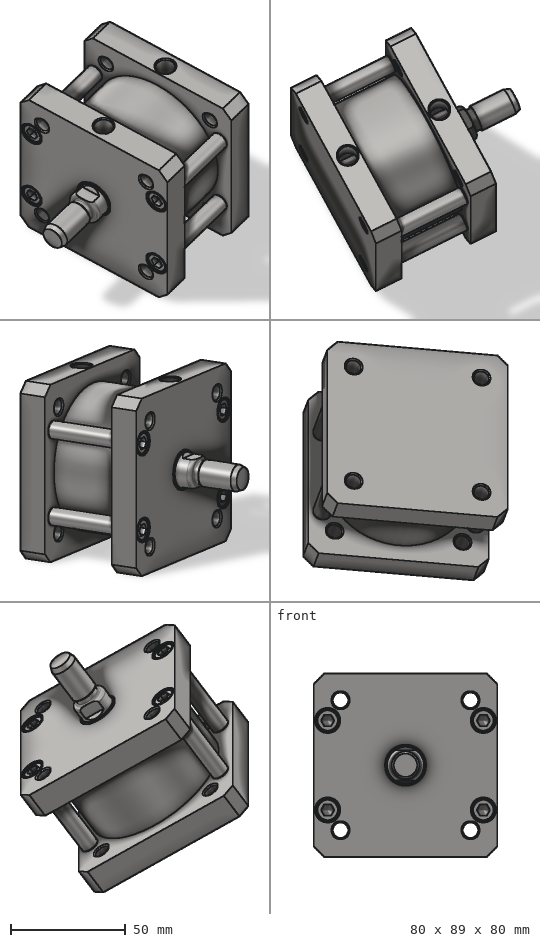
import cadquery as cq
import math


TOTAL_LENGTH = 89.0

PLATE_SIDE = 80.0
PLATE_THICKNESS = 12.55
CORNER_CHAMFER = 4.6

MOUNT_OFFSET = 28.3
MOUNT_DIA = 6.7
MOUNT_MOUTH_DIA = 8.0

PORT_DIA = 8.5
PORT_MOUTH_DIA = 9.7
PORT_FROM_OUTER_FACE = 7.0
PORT_DEPTH = 10.7
PORT_TIP_HALF_ANGLE = 59.0
BAR_DIA = 4.0
BAR_EMBED = 0.3

ROD_REACH = 30.0
COLLAR_DIA = 16.0
COLLAR_LENGTH = 8.0
COLLAR_FILLET = 1.7
FLATS_WIDTH = 13.0
FLATS_START = 2.3
NECK_DIA = 10.5
NECK_LENGTH = 2.9
NECK_FILLET = 0.45
STUD_DIA = 12.0
STUD_TIP_DIA = 10.15
STUD_TIP_LENGTH = 2.6
SHOULDER_DIA = 16.55
SHOULDER_REACH = 0.4
WIPER_BORE_DIA = 17.7
WIPER_MOUTH_DIA = 18.0
WIPER_BORE_DEPTH = 0.9

BARREL_DIA = 65.95
REGISTER_DIA = 63.0
END_GAP = 0.4

BOLT_X = 33.9
BOLT_Z = 19.5
SHANK_DIA = 6.9
SLEEVE_DIA = 8.0
SHANK_GRIP = 8.9
HEAD_DIA = 10.0
HEAD_RIM_DIA = 8.8
HEAD_HEIGHT = 6.0
HEAD_INSET = 0.4
COUNTERBORE_DIA = 10.5
COUNTERBORE_MOUTH_DIA = 11.0
SOCKET_ACROSS_FLATS = 5.0
SOCKET_DEPTH = 3.0
SOCKET_CONE_DEPTH = 1.7

BODY_LENGTH = TOTAL_LENGTH - ROD_REACH
BACK_PLATE_Y = BODY_LENGTH - PLATE_THICKNESS
SLEEVE_START_Y = PLATE_THICKNESS + END_GAP
SLEEVE_END_Y = BACK_PLATE_Y - END_GAP
COUNTERBORE_DEPTH = HEAD_INSET + HEAD_HEIGHT
SHANK_END_Y = BACK_PLATE_Y + SHANK_GRIP
MOUNT_PLACES = [(sx * MOUNT_OFFSET, sz * MOUNT_OFFSET) for sx in (-1, 1) for sz in (-1, 1)]
BOLT_PLACES = [(sx * BOLT_X, sz * BOLT_Z) for sx in (-1, 1) for sz in (-1, 1)]


def rod_along_y(diameter, start_y, end_y, x=0.0, z=0.0):
    """Cylinder parallel to Y."""
    return cq.Workplane(
        cq.Solid.makeCylinder(diameter / 2, end_y - start_y, cq.Vector(x, start_y, z), cq.Vector(0, 1, 0))
    )


def cone_along_y(start_dia, end_dia, start_y, end_y, x=0.0, z=0.0):
    """Cone parallel to Y."""
    return cq.Workplane(
        cq.Solid.makeCone(
            start_dia / 2, end_dia / 2, end_y - start_y, cq.Vector(x, start_y, z), cq.Vector(0, 1, 0)
        )
    )


def mount_hole(x, z, start_y):
    """Through hole with a 45 degree chamfer at both faces of a plate."""
    end_y = start_y + PLATE_THICKNESS
    chamfer = (MOUNT_MOUTH_DIA - MOUNT_DIA) / 2
    hole = rod_along_y(MOUNT_DIA, start_y, end_y, x, z)
    hole = hole.union(cone_along_y(MOUNT_MOUTH_DIA, MOUNT_DIA, start_y, start_y + chamfer, x, z))
    return hole.union(cone_along_y(MOUNT_DIA, MOUNT_MOUTH_DIA, end_y - chamfer, end_y, x, z))


def air_port(port_y):
    """Drilled port with a chamfered mouth and a conical bottom."""
    top = PLATE_SIDE / 2
    chamfer = (PORT_MOUTH_DIA - PORT_DIA) / 2
    cone_height = PORT_DIA / 2 / math.tan(math.radians(PORT_TIP_HALF_ANGLE))
    profile = [
        (0, top),
        (PORT_MOUTH_DIA / 2, top),
        (PORT_DIA / 2, top - chamfer),
        (PORT_DIA / 2, top - PORT_DEPTH),
        (0, top - PORT_DEPTH - cone_height),
    ]
    port = cq.Workplane("XZ").polyline(profile).close().revolve(360, (0, 0, 0), (0, 1, 0))
    return port.translate((0, port_y, 0))


def port_bar(port_y):
    """Round bar across the bottom of a port, joined to the port wall at both ends."""
    half_length = PORT_DIA / 2 + BAR_EMBED
    return rod_along_y(BAR_DIA, port_y - half_length, port_y + half_length, 0, PLATE_SIDE / 2 - PORT_DEPTH)


def plate(start_y, port_y):
    """Square plate with cut corners, mounting holes and an air port."""
    body = cq.Workplane("XY").box(PLATE_SIDE, PLATE_THICKNESS, PLATE_SIDE)
    body = body.edges("|Y").chamfer(CORNER_CHAMFER)
    body = body.translate((0, start_y + PLATE_THICKNESS / 2, 0))
    for x, z in MOUNT_PLACES:
        body = body.cut(mount_hole(x, z, start_y))
    return body.cut(air_port(port_y)).union(port_bar(port_y))


def make_front_plate():
    """Plate with the rod bore, the wiper recess and the counterbored bolt holes."""
    body = plate(0, PORT_FROM_OUTER_FACE)
    mouth_chamfer = (WIPER_MOUTH_DIA - WIPER_BORE_DIA) / 2
    body = body.cut(rod_along_y(SHOULDER_DIA, 0, PLATE_THICKNESS))
    body = body.cut(rod_along_y(WIPER_BORE_DIA, 0, WIPER_BORE_DEPTH))
    body = body.cut(cone_along_y(WIPER_MOUTH_DIA, WIPER_BORE_DIA, 0, mouth_chamfer))
    chamfer = (COUNTERBORE_MOUTH_DIA - COUNTERBORE_DIA) / 2
    for x, z in BOLT_PLACES:
        body = body.cut(rod_along_y(SHANK_DIA, 0, PLATE_THICKNESS, x, z))
        body = body.cut(rod_along_y(COUNTERBORE_DIA, 0, COUNTERBORE_DEPTH, x, z))
        body = body.cut(cone_along_y(COUNTERBORE_MOUTH_DIA, COUNTERBORE_DIA, 0, chamfer, x, z))
    return body


def make_back_plate():
    """Plate with blind holes that take the ends of the tie bolts."""
    body = plate(BACK_PLATE_Y, BODY_LENGTH - PORT_FROM_OUTER_FACE)
    for x, z in BOLT_PLACES:
        body = body.cut(rod_along_y(SHANK_DIA, BACK_PLATE_Y, SHANK_END_Y, x, z))
    return body


def make_barrel():
    """Barrel that bears on the plates with a slightly smaller register at each end."""
    barrel = rod_along_y(BARREL_DIA, SLEEVE_START_Y, SLEEVE_END_Y)
    return barrel.union(rod_along_y(REGISTER_DIA, PLATE_THICKNESS, BACK_PLATE_Y))


def make_piston_rod():
    """Shoulder in the front plate, collar with wrench flats, neck and stud with a tapered tip."""
    neck_start = -COLLAR_LENGTH
    stud_start = neck_start - NECK_LENGTH
    tip_start = STUD_TIP_LENGTH - ROD_REACH

    collar = rod_along_y(COLLAR_DIA, neck_start, PLATE_THICKNESS)
    collar = collar.faces("<Y").edges().fillet(COLLAR_FILLET)
    half_flats = FLATS_WIDTH / 2
    run_out = COLLAR_DIA / 2 - half_flats
    flat = (
        cq.Workplane("YZ")
        .polyline([
            (neck_start, half_flats),
            (-FLATS_START, half_flats),
            (run_out - FLATS_START, COLLAR_DIA / 2),
            (neck_start, COLLAR_DIA / 2),
        ])
        .close()
        .extrude(COLLAR_DIA / 2, both=True)
    )
    collar = collar.cut(flat).cut(flat.mirror("XY"))

    collar = collar.union(rod_along_y(SHOULDER_DIA, -SHOULDER_REACH, PLATE_THICKNESS))

    half_neck = NECK_DIA / 2
    rounded = half_neck + NECK_FILLET
    diagonal = NECK_FILLET * (1 - math.sqrt(0.5))
    stud = (
        cq.Workplane("XY")
        .moveTo(0, neck_start)
        .lineTo(rounded, neck_start)
        .threePointArc((half_neck + diagonal, neck_start - diagonal), (half_neck, neck_start - NECK_FILLET))
        .lineTo(half_neck, stud_start + NECK_FILLET)
        .threePointArc((half_neck + diagonal, stud_start + diagonal), (rounded, stud_start))
        .lineTo(STUD_DIA / 2, stud_start)
        .lineTo(STUD_DIA / 2, tip_start)
        .lineTo(STUD_TIP_DIA / 2, -ROD_REACH)
        .lineTo(0, -ROD_REACH)
        .close()
        .revolve(360, (0, 0, 0), (0, 1, 0))
    )
    return collar.union(stud)


def make_tie_bolt(x, z):
    """Socket head bolt with a thicker sleeve between the plates."""
    chamfer = (HEAD_DIA - HEAD_RIM_DIA) / 2
    head = rod_along_y(HEAD_DIA, HEAD_INSET, COUNTERBORE_DEPTH)
    head = head.faces("<Y").edges().chamfer(chamfer)
    bolt = head.union(rod_along_y(SHANK_DIA, COUNTERBORE_DEPTH, SHANK_END_Y))
    bolt = bolt.union(rod_along_y(SLEEVE_DIA, SLEEVE_START_Y, SLEEVE_END_Y))
    corner_dia = SOCKET_ACROSS_FLATS / math.cos(math.pi / 6)
    floor_y = HEAD_INSET + SOCKET_DEPTH
    hexagon = cq.Workplane("XZ", origin=(0, HEAD_INSET, 0)).polygon(6, corner_dia)
    prism = hexagon.extrude(-(SOCKET_DEPTH + SOCKET_CONE_DEPTH))
    tool = rod_along_y(corner_dia, HEAD_INSET, floor_y)
    tool = tool.union(cone_along_y(corner_dia, 0, floor_y, floor_y + SOCKET_CONE_DEPTH))
    socket = prism.intersect(tool)
    return bolt.cut(socket).translate((x, 0, z))


front_plate = make_front_plate()
back_plate = make_back_plate()
barrel = make_barrel()
piston_rod = make_piston_rod()
tie_bolts = [make_tie_bolt(x, z) for x, z in BOLT_PLACES]

result = cq.Compound.makeCompound([
    front_plate.val(),
    back_plate.val(),
    barrel.val(),
    piston_rod.val(),
    *[bolt.val() for bolt in tie_bolts],
])